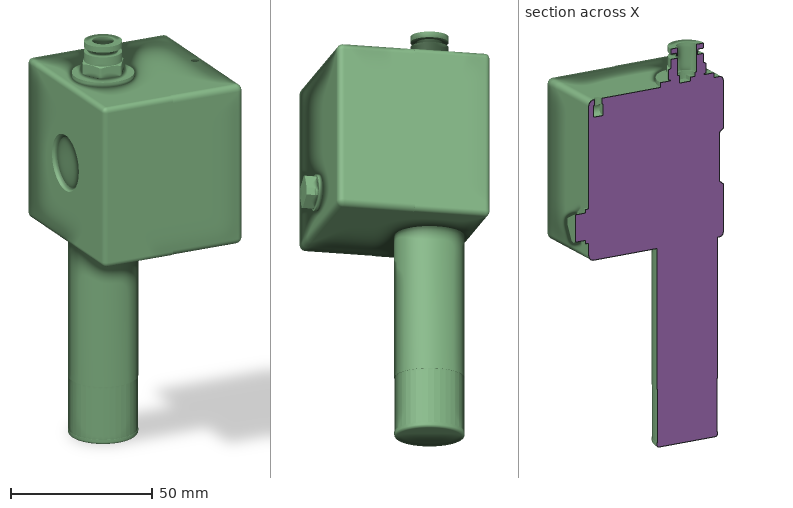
import cadquery as cq
import math

total_height = 147.9
side_len = 60.0
housing_depth = 55.5
front_depth = 27.5
front_fillet = 1.8
rear_fillet = 2.2

column_offset = 15.0
handle_d = 25.0
knurl_top = 21.7
knurl_bottom = 1.8
knurl_d = 24.7
knurl_facets = 36
knurl_phase = 3.8
tip_fillet = 0.9

window_d = 20.9
window_floor_d = 18.3
window_depth = 1.5

flange_d = 22.2
flange_thick = 1.8
fitting_d = 13.6
body_height = 8.0
hex_flats = 13.9
hex_corner_d = 15.7
hex_height = 4.6
hex_turn = -3.3
hex_chamfer_drop = 0.5
neck_bottom_d = 8.5
neck_top_d = 9.2
neck_height = 1.8
release_height = 2.0
tube_d = 7.7
tube_depth = 10.4
throat_d = 6.2
throat_depth = 13.3
ledge_offset = 1.3
ledge_height = 1.5

plug_height = 13.2
plug_flange_d = 13.0
plug_flange_thick = 1.3
plug_length = 5.5
plug_flats = 9.2
plug_corner_d = 11.5
plug_turn = 17.0
plug_side_width = 10.2
plug_side_start = 1.0

vent_d = 3.0
vent_from_rear = 4.0
vent_depth = 4.5
trough_d = 4.1
trough_length = 3.5

fitting_height = flange_thick + body_height + neck_height + release_height
housing_top = total_height - fitting_height
housing_bottom = housing_top - side_len


def disc(diameter, bottom, height, y=column_offset):
    """Vertical cylinder centred on X = 0."""
    return cq.Workplane("XY", origin=(0, y, bottom)).circle(diameter / 2).extrude(height)


def rear_plane(y):
    """Plane on the plug axis, facing +Y."""
    plane = cq.Plane(origin=(0, y, housing_bottom + plug_height), xDir=(-1, 0, 0), normal=(0, 1, 0))
    return cq.Workplane(plane)


def half_housing(front, depth, fillet, end_face):
    block = cq.Workplane("XY").box(side_len, depth, side_len, centered=(True, False, False))
    block = block.translate((0, front, housing_bottom))
    return block.edges("|Y or " + end_face).fillet(fillet)


def make_housing():
    front = half_housing(0, front_depth, front_fillet, "<Y")
    rear = half_housing(front_depth, housing_depth - front_depth, rear_fillet, ">Y")
    return front.union(rear)


def make_handle():
    tip = disc(handle_d, 0, knurl_bottom).faces("<Z").edges().fillet(tip_fillet)
    knurl = (
        cq.Workplane("XY", origin=(0, column_offset, knurl_bottom))
        .transformed(rotate=(0, 0, knurl_phase))
        .polygon(knurl_facets, knurl_d)
        .extrude(knurl_top - knurl_bottom)
    )
    shaft = disc(handle_d, knurl_top, housing_bottom + front_fillet - knurl_top)
    return tip.union(knurl).union(shaft)


def make_fitting():
    hex_bottom = housing_top + flange_thick
    sharp_corner_d = hex_flats / math.cos(math.radians(30))
    hexagon = (
        cq.Workplane("XY", origin=(0, column_offset, hex_bottom))
        .transformed(rotate=(0, 0, 90 + hex_turn))
        .polygon(6, sharp_corner_d)
        .extrude(hex_height)
    )
    corner_trim = (
        disc(hex_corner_d, hex_bottom, hex_height)
        .faces("<Z or >Z").edges()
        .chamfer(hex_chamfer_drop, (hex_corner_d - fitting_d) / 2)
    )
    neck_bottom = hex_bottom + body_height
    neck = (
        cq.Workplane("XY", origin=(0, column_offset, neck_bottom))
        .circle(neck_bottom_d / 2)
        .workplane(offset=neck_height)
        .circle(neck_top_d / 2)
        .loft()
    )
    return (
        disc(flange_d, housing_top, flange_thick)
        .union(hexagon.intersect(corner_trim))
        .union(disc(fitting_d, hex_bottom, body_height))
        .union(neck)
        .union(disc(fitting_d, neck_bottom + neck_height, release_height))
    )


def make_bore():
    """Stepped tube bore whose floor carries a raised ledge on the front side."""
    floor = total_height - throat_depth
    ledge = (
        cq.Workplane("XY", origin=(0, column_offset - ledge_offset, floor))
        .box(throat_d, throat_d, ledge_height, centered=(True, False, False))
        .translate((0, -throat_d, 0))
    )
    throat = disc(throat_d, floor, throat_depth).cut(ledge)
    return throat.union(disc(tube_d, total_height - tube_depth, tube_depth))


def make_plug():
    flange = rear_plane(housing_depth).circle(plug_flange_d / 2).extrude(plug_flange_thick)
    head_start = housing_depth + plug_flange_thick
    head_length = plug_length - plug_flange_thick
    square = (
        rear_plane(head_start).transformed(rotate=(0, 0, 45 - plug_turn))
        .rect(plug_flats, plug_flats).extrude(head_length)
    )
    rounding = rear_plane(head_start).circle(plug_corner_d / 2).extrude(head_length)
    head = square.intersect(rounding)
    slab_size = 2 * plug_flange_d
    side_slab = (
        rear_plane(head_start + plug_side_start)
        .rect(slab_size, slab_size)
        .rect(plug_side_width, plug_flange_d)
        .extrude(head_length)
    )
    return flange.union(head.cut(side_slab))


def make_window():
    """Shallow recess with a conical wall in the front face."""
    return (
        cq.Workplane("XZ", origin=(0, 0, housing_bottom + side_len / 2))
        .circle(window_d / 2)
        .workplane(offset=-window_depth)
        .circle(window_floor_d / 2)
        .loft()
    )


def make_vent():
    """Blind hole whose floor is a trough running along Y."""
    vent_y = housing_depth - vent_from_rear
    trough_z = housing_top - vent_depth
    hole = disc(vent_d, trough_z, vent_depth, vent_y)
    trough = (
        cq.Workplane("XZ", origin=(0, vent_y, trough_z))
        .circle(trough_d / 2)
        .extrude(trough_length / 2, both=True)
    )
    return hole.union(trough)


result = (
    make_housing()
    .union(make_handle())
    .union(make_fitting())
    .union(make_plug())
    .cut(make_bore())
    .cut(make_window())
    .cut(make_vent())
)